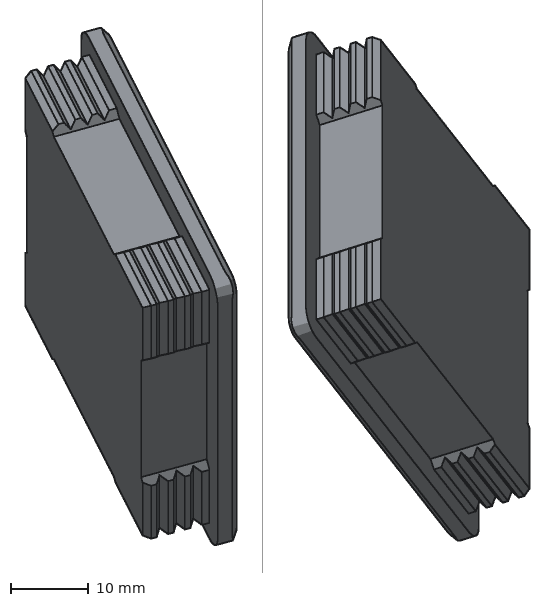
import cadquery as cq

flange_size = 50.0
flange_thickness = 3.0
flange_chamfer = 1.0
corner_radius = 3.0

total_depth = 12.0
flange_overhang = 3.0
plug_size = flange_size - 2 * flange_overhang
plug_end_y = -total_depth

recess_depth = 1.0
recess_floor_width = 22.0
recess_mouth_width = recess_floor_width + 2 * recess_depth

bevel_length = 1.0
bevel_depth = 0.5
groove_count = 3
first_groove_y = -4.05
groove_pitch = (total_depth - bevel_length + first_groove_y) / groove_count
groove_lead_length = 0.9
groove_width = 1.55
groove_depth = 0.75


def square_frustum(start_y, start_size, end_y, end_size):
    """Square frustum about the Y axis between two Y positions."""
    return (
        cq.Workplane("XZ", origin=(0, start_y, 0))
        .rect(start_size, start_size)
        .workplane(offset=start_y - end_y)
        .rect(end_size, end_size)
        .loft(ruled=True)
    )


def make_flange():
    """Square plate with rounded corners and a chamfered outer rim whose mitres are rounded too."""
    plate = (
        cq.Workplane("XZ")
        .rect(flange_size, flange_size)
        .extrude(flange_thickness)
        .edges("|Y")
        .fillet(corner_radius)
    )
    rim_top_size = flange_size - 2 * flange_chamfer
    rim_base_size = rim_top_size + 2 * flange_thickness
    rim = square_frustum(0, rim_top_size, -flange_thickness, rim_base_size)
    slanted_edges = "not(|X or |Z)"
    return plate.intersect(rim.edges(slanted_edges).fillet(corner_radius))


def make_plug():
    """Stack of square sections that forms the grooves and the bevelled end."""
    groove_size = plug_size - 2 * groove_depth
    plug = square_frustum(-flange_thickness, plug_size, first_groove_y, plug_size)
    for index in range(groove_count):
        groove_start_y = first_groove_y - index * groove_pitch
        groove_floor_y = groove_start_y - groove_lead_length
        groove_end_y = groove_start_y - groove_width
        next_groove_y = groove_start_y - groove_pitch
        lead = square_frustum(groove_start_y, plug_size, groove_floor_y, groove_size)
        rise = square_frustum(groove_floor_y, groove_size, groove_end_y, plug_size)
        land = square_frustum(groove_end_y, plug_size, next_groove_y, plug_size)
        plug = plug.union(lead).union(rise).union(land)
    bevel_start_y = plug_end_y + bevel_length
    bevel_end_size = plug_size - 2 * bevel_depth
    bevel = square_frustum(bevel_start_y, plug_size, plug_end_y, bevel_end_size)
    return plug.union(bevel)


def make_recess_cutter():
    """Trapezoidal prism that clears the middle of the +Z side of the plug."""
    floor_z = plug_size / 2 - recess_depth
    outline = [
        (-recess_floor_width / 2, floor_z),
        (recess_floor_width / 2, floor_z),
        (recess_mouth_width / 2, plug_size / 2),
        (-recess_mouth_width / 2, plug_size / 2),
    ]
    return (
        cq.Workplane("XZ", origin=(0, -flange_thickness, 0))
        .polyline(outline)
        .close()
        .extrude(total_depth - flange_thickness)
    )


plug = make_plug()
for side_angle in (0, 90, 180, 270):
    plug = plug.cut(make_recess_cutter().rotate((0, 0, 0), (0, 1, 0), side_angle))

result = make_flange().union(plug)